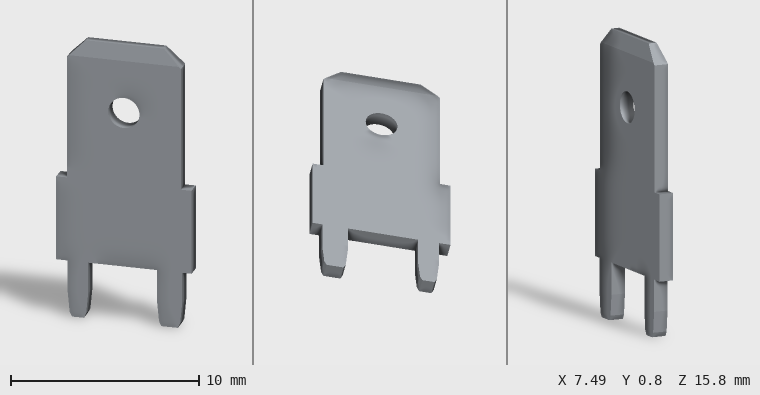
import cadquery as cq

height = 15.8
body_width = 7.49
thickness = 0.8

body_bottom = 3.18
body_top = 7.92

tab_width = 6.32
tip_width = 4.33
tip_corner_height = 1.0
bevel_height = 0.88
tip_thickness = 0.47
hole_diameter = 1.72
hole_level = 11.95

left_pin_outer = -3.11
left_pin_inner = -1.98
right_pin_inner = 1.83
right_pin_outer = 3.22
pin_taper_level = 1.42
pin_nose_level = 0.27
pin_taper_inset = 0.11
pin_tip_inset = 0.24


def extrude_outline(points):
    """Extrude an XZ outline through the plate thickness, centred on Y."""
    return cq.Workplane("XZ").polyline(points).close().extrude(thickness / 2, both=True)


def make_tab():
    """Wide body and narrower tab with cut corners."""
    half_body = body_width / 2
    half_tab = tab_width / 2
    half_tip = tip_width / 2
    corner_level = height - tip_corner_height
    right_side = [
        (half_body, body_bottom),
        (half_body, body_top),
        (half_tab, body_top),
        (half_tab, corner_level),
        (half_tip, height),
    ]
    left_side = [(-x, z) for x, z in reversed(right_side)]
    return extrude_outline(right_side + left_side)


def make_pin(left, right):
    """Pin with a slight taper and a blunt nose, rooted at the body edge."""
    return extrude_outline([
        (left, body_bottom),
        (left, pin_taper_level),
        (left + pin_taper_inset, pin_nose_level),
        (left + pin_tip_inset, 0),
        (right - pin_tip_inset, 0),
        (right - pin_taper_inset, pin_nose_level),
        (right, pin_taper_level),
        (right, body_bottom),
    ])


def make_bevel_cutter(side):
    """Wedge that thins the tab tip on one face; side is -1 or 1 along Y."""
    face = side * thickness / 2
    tip_face = side * tip_thickness / 2
    wedge = [(face, height - bevel_height), (face, height), (tip_face, height)]
    return cq.Workplane("YZ").polyline(wedge).close().extrude(tab_width / 2, both=True)


result = make_tab()
result = result.union(make_pin(left_pin_outer, left_pin_inner))
result = result.union(make_pin(right_pin_inner, right_pin_outer))

for side in (-1, 1):
    result = result.cut(make_bevel_cutter(side))

hole = (
    cq.Workplane("XZ")
    .center(0, hole_level)
    .circle(hole_diameter / 2)
    .extrude(thickness / 2, both=True)
)
result = result.cut(hole)